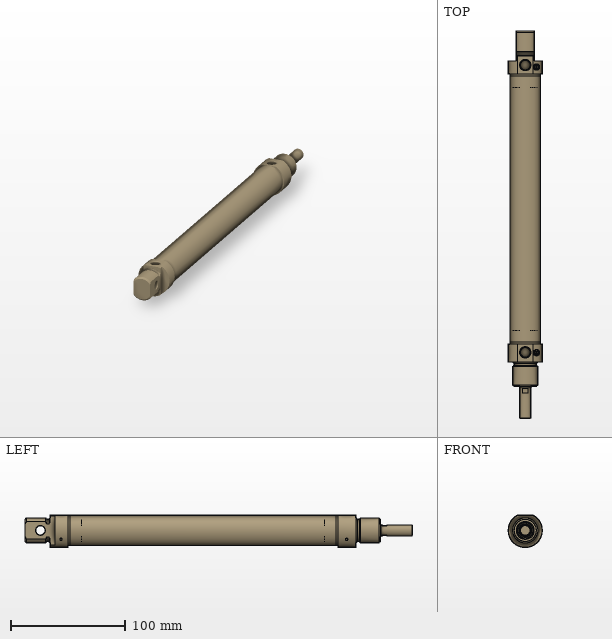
import cadquery as cq
import math

total_length = 340.0
rod_tip_y = -total_length / 2
eye_end_y = total_length / 2
nose_length = 21.5
rod_reach = 28.2
cap_length = 15.5
tail_length = 22.0
nose_end_y = rod_tip_y + rod_reach
front_face_y = nose_end_y + nose_length
rear_face_y = eye_end_y - tail_length
front_shoulder_y = front_face_y + cap_length
rear_shoulder_y = rear_face_y - cap_length

tube_diameter = 27.0
tube_wall = 1.0
bore_diameter = tube_diameter - 2 * tube_wall
collar_length = 1.7
spigot_length = 10.2
spigot_end_offset = collar_length + spigot_length

cap_diameter = 30.0
port_flat_z = tube_diameter / 2

stub_diameter = 22.0
stub_chamfer = 1.5
undercut_width = 4.0
undercut_diameter = 19.7

eye_width = 16.0
eye_length = 26.2
eye_hole_diameter = 8.0
eye_hole_inset = 13.5

port_diameter = 8.5
port_chamfer = 0.7
port_core_diameter = 13.3
front_port_inset = 8.5
rear_port_inset = 7.8
front_port_y = front_face_y + front_port_inset
rear_port_y = rear_face_y - rear_port_inset

wiper_recess_mouth_diameter = 15.5
wiper_recess_floor_diameter = 13.5
wiper_recess_depth = 1.0
wiper_lip_diameter = 11.2
wiper_lip_rise = 0.5
wiper_lip_chamfer = 0.5

rod_diameter = 10.0
rod_tip_chamfer = 0.7
rod_flat_width = 8.5
rod_flat_length = 4.0
rod_flat_gap = 1.7

screw_diameter = 3.5
screw_length = 3.5
screw_x = 10.0
screw_top_z = 8.0
counterbore_diameter = 5.5
slot_width = 0.7
slot_depth = 0.7
front_screw_inset = 8.0
rear_screw_inset = 9.5
front_screw_y = front_face_y + front_screw_inset
rear_screw_y = rear_face_y - rear_screw_inset

vent_diameter = 2.0
vent_depth = 1.7
vent_z = -7.8
vent_floor_x = vent_depth - math.sqrt((cap_diameter / 2) ** 2 - vent_z**2)


def cylinder(diameter, start_y, end_y):
    """Cylinder on the Y axis between two axial places."""
    return cq.Workplane("XZ", origin=(0, end_y, 0)).circle(diameter / 2).extrude(end_y - start_y)


def upright_cylinder(diameter, x, y, bottom_z, top_z):
    """Cylinder parallel to Z between two heights."""
    return cq.Workplane("XY", origin=(x, y, bottom_z)).circle(diameter / 2).extrude(top_z - bottom_z)


def stub(face_y, end_y):
    """Round stub with an undercut with sloped sides at the cap face and a chamfered end."""
    outward = math.copysign(1, end_y - face_y)
    radius = stub_diameter / 2
    undercut_radius = undercut_diameter / 2
    undercut_slope = radius - undercut_radius
    undercut_end_y = face_y + outward * undercut_width
    profile = (
        cq.Workplane("XY")
        .moveTo(0, face_y)
        .lineTo(radius, face_y)
        .lineTo(undercut_radius, face_y + outward * undercut_slope)
        .lineTo(undercut_radius, undercut_end_y - outward * undercut_slope)
        .lineTo(radius, undercut_end_y)
        .lineTo(radius, end_y - outward * stub_chamfer)
        .lineTo(radius - stub_chamfer, end_y)
        .lineTo(0, end_y)
        .close()
    )
    return profile.revolve(360, (0, 0, 0), (0, 1, 0))


def cap_body(face_y, shoulder_y):
    """Cap ring with its top flat, and the collar and spigot that hold the tube."""
    inward = math.copysign(1, shoulder_y - face_y)
    ring = cylinder(cap_diameter, *sorted((face_y, shoulder_y)))
    above_flat = (
        cq.Workplane("XY", origin=(0, (face_y + shoulder_y) / 2, port_flat_z))
        .rect(cap_diameter, cap_length)
        .extrude(cap_diameter, combine=False)
    )
    collar_end_y = shoulder_y + inward * collar_length
    spigot_end_y = shoulder_y + inward * spigot_end_offset
    collar = cylinder(tube_diameter, *sorted((shoulder_y, collar_end_y)))
    spigot = cylinder(bore_diameter, *sorted((shoulder_y, spigot_end_y)))
    return ring.cut(above_flat).union(collar).union(spigot)


def port(y):
    """Chamfered air port from the flat down to the round core of the cap."""
    hole = upright_cylinder(port_diameter, 0, y, 0, port_flat_z)
    core = cylinder(port_core_diameter, y - port_diameter, y + port_diameter)
    hole = hole.cut(core)
    mouth = cq.Solid.makeCone(
        port_diameter / 2,
        port_diameter / 2 + port_chamfer,
        port_chamfer,
        cq.Vector(0, y, port_flat_z - port_chamfer),
        cq.Vector(0, 0, 1),
    )
    return hole.union(cq.Workplane(obj=mouth))


def drill_cap(cap, port_y, screw_y):
    """Cut the port, the screw hole and the vent of one cap."""
    screw_bottom_z = screw_top_z - screw_length
    screw_hole = upright_cylinder(screw_diameter, screw_x, screw_y, screw_bottom_z, screw_top_z)
    counterbore = upright_cylinder(counterbore_diameter, screw_x, screw_y, screw_top_z, port_flat_z)
    vent = (
        cq.Workplane("YZ", origin=(vent_floor_x, screw_y, vent_z))
        .circle(vent_diameter / 2)
        .extrude(-cap_diameter / 2)
    )
    return cap.cut(port(port_y)).cut(screw_hole).cut(counterbore).cut(vent)


def make_front_cap():
    cap = cap_body(front_face_y, front_shoulder_y)
    cap = cap.union(stub(front_face_y, nose_end_y))
    cap = drill_cap(cap, front_port_y, front_screw_y)
    recess_floor_y = nose_end_y + wiper_recess_depth
    recess = (
        cq.Workplane("XZ", origin=(0, recess_floor_y, 0))
        .circle(wiper_recess_floor_diameter / 2)
        .workplane(offset=wiper_recess_depth)
        .circle(wiper_recess_mouth_diameter / 2)
        .loft()
    )
    lip = cylinder(wiper_lip_diameter, nose_end_y - wiper_lip_rise, recess_floor_y)
    lip = lip.faces("<Y").chamfer(wiper_lip_chamfer)
    cap = cap.cut(recess).union(lip)
    rod_hole = cylinder(rod_diameter, rod_tip_y, front_shoulder_y + spigot_end_offset)
    return cap.cut(rod_hole)


def make_rear_cap():
    cap = cap_body(rear_face_y, rear_shoulder_y)
    cap = cap.union(stub(rear_face_y, eye_end_y))
    cap = drill_cap(cap, rear_port_y, rear_screw_y)
    for side in (-1, 1):
        beside_eye = cq.Workplane("XY").box(cap_diameter, eye_length, 2 * cap_diameter).translate(
            (side * (eye_width + cap_diameter) / 2, eye_end_y - eye_length / 2, 0)
        )
        cap = cap.cut(beside_eye)
    eye_hole = (
        cq.Workplane("YZ", origin=(0, eye_end_y - eye_hole_inset, 0))
        .circle(eye_hole_diameter / 2)
        .extrude(eye_width, both=True)
    )
    return cap.cut(eye_hole)


def make_tube():
    start_y = front_shoulder_y + collar_length
    end_y = rear_shoulder_y - collar_length
    return cylinder(tube_diameter, start_y, end_y).cut(cylinder(bore_diameter, start_y, end_y))


def make_rod():
    rod = cylinder(rod_diameter, rod_tip_y, front_shoulder_y + spigot_end_offset)
    rod = rod.faces("<Y").chamfer(rod_tip_chamfer)
    for side in (-1, 1):
        beyond_flat = cq.Workplane("XY").box(rod_diameter, rod_flat_length, rod_diameter).translate(
            (
                0,
                nose_end_y - rod_flat_gap - rod_flat_length / 2,
                side * (rod_flat_width + rod_diameter) / 2,
            )
        )
        rod = rod.cut(beyond_flat)
    return rod


def make_cushion_screw(y):
    """Headless screw with a driver slot across its outer end."""
    screw = upright_cylinder(screw_diameter, screw_x, y, screw_top_z - screw_length, screw_top_z)
    slot = cq.Workplane("XY").box(slot_width, screw_diameter, 2 * slot_depth)
    return screw.cut(slot.translate((screw_x, y, screw_top_z)))


tube = make_tube()
front_cap = make_front_cap()
rear_cap = make_rear_cap()
rod = make_rod()
cushion_screws = [make_cushion_screw(y) for y in (front_screw_y, rear_screw_y)]

result = cq.Compound.makeCompound(
    [
        tube.val(),
        front_cap.val(),
        rear_cap.val(),
        rod.val(),
        *[screw.val() for screw in cushion_screws],
    ]
)